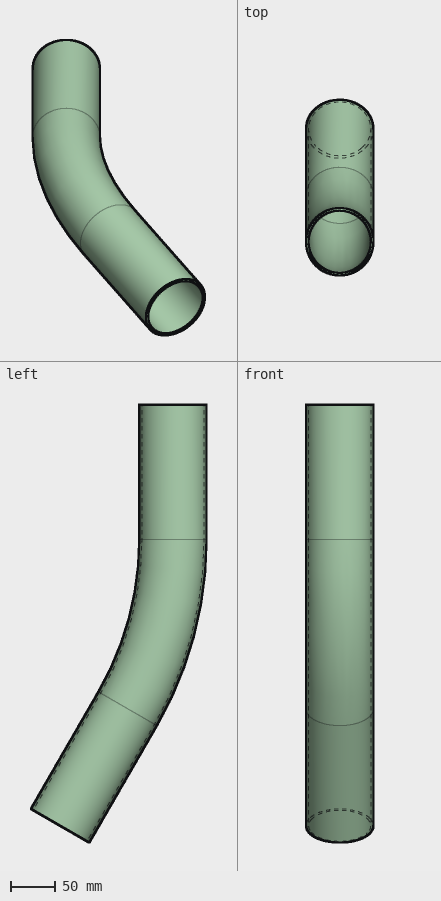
import cadquery as cq
import math

outer_diameter = 76.2
inner_diameter = 70.1

leg_length = 152.4
bend_radius = 5 * outer_diameter
bend_angle = 30.0


def bend_point(angle):
    """Centreline (y, z) after turning by angle (degrees) down from the upper leg towards +Y."""
    turn = math.radians(angle)
    return (bend_radius * (1 - math.cos(turn)), -bend_radius * math.sin(turn))


def make_centreline():
    """Path in the YZ plane from the top of the vertical leg to the end of the tilted leg."""
    bend_end_y, bend_end_z = bend_point(bend_angle)
    tilt = math.radians(bend_angle)
    lower_end = (
        bend_end_y + leg_length * math.sin(tilt),
        bend_end_z - leg_length * math.cos(tilt),
    )
    return (
        cq.Workplane("YZ")
        .moveTo(0, leg_length)
        .lineTo(0, 0)
        .threePointArc(bend_point(bend_angle / 2), (bend_end_y, bend_end_z))
        .lineTo(*lower_end)
    )


def make_tube():
    """Ring section at the top of the vertical leg, swept along the centreline."""
    return (
        cq.Workplane("XY", origin=(0, 0, leg_length))
        .circle(outer_diameter / 2)
        .circle(inner_diameter / 2)
        .sweep(make_centreline())
    )


result = make_tube()